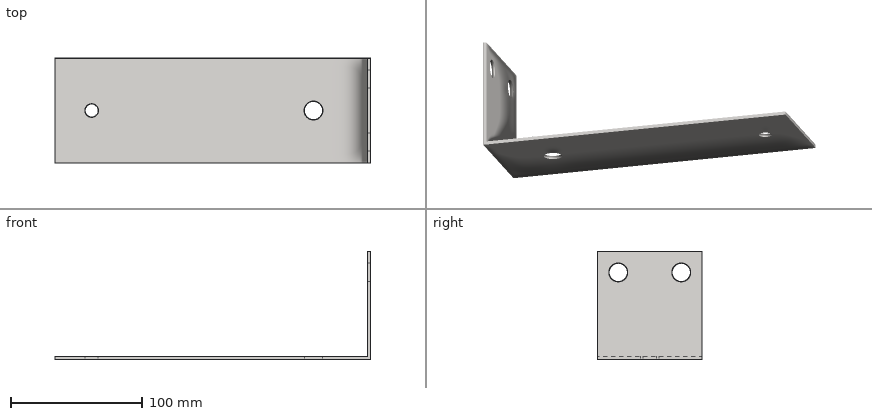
import cadquery as cq

length = 240.5
width = 80.0
height = 82.5
base_thickness = 2.5
wall_thickness = 2.5

small_hole_diameter = 10.0
small_hole_x = 28.0
large_hole_diameter = 14.0
large_hole_x = 197.0

wall_hole_diameter = 14.0
wall_hole_spacing = 48.0
wall_hole_drop = 16.0


def bracket_body():
    """L profile in the XZ plane, centred on Y = 0, with the wall at the +X end."""
    profile = (
        cq.Workplane("XZ")
        .moveTo(0, 0)
        .lineTo(length, 0)
        .lineTo(length, height)
        .lineTo(length - wall_thickness, height)
        .lineTo(length - wall_thickness, base_thickness)
        .lineTo(0, base_thickness)
        .close()
    )
    return profile.extrude(width / 2, both=True)


def base_hole(diameter, x):
    """Vertical cutter through the base at the given X."""
    return cq.Workplane("XY").center(x, 0).circle(diameter / 2).extrude(base_thickness)


def wall_hole(y):
    """Cutter along X through the wall at the given Y."""
    return (
        cq.Workplane("YZ", origin=(length - wall_thickness, 0, 0))
        .center(y, height - wall_hole_drop)
        .circle(wall_hole_diameter / 2)
        .extrude(wall_thickness)
    )


result = bracket_body()
result = result.cut(base_hole(small_hole_diameter, small_hole_x))
result = result.cut(base_hole(large_hole_diameter, large_hole_x))
for side in (-1, 1):
    result = result.cut(wall_hole(side * wall_hole_spacing / 2))